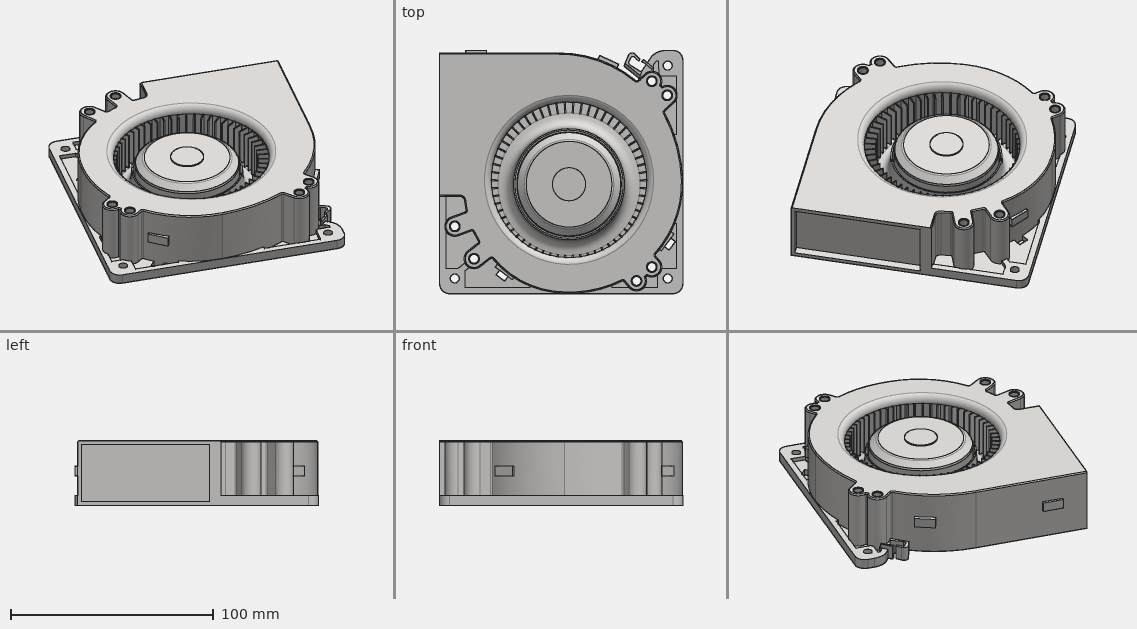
import cadquery as cq
import math

SIZE = 120.0
HALF = SIZE / 2
HEIGHT = 32.0
PLATE_H = 5.0
CORNER_R = 5.0
MOUNT_INSET = 7.5
MOUNT_R = 2.2
EAR_R = 10.0
EAR_CENTER_X = 51.6

POCKET_FLOOR = 3.0
RIM = 3.1
PAD = 12.6

SCROLL_TOP_Y = 58.7
OUTLET_LOW_Y = -12.0
EDGE_CHAMFER = 0.6

LUG_R = 4.9
LUG_HOLE_R = 2.2
LUG_HOLE_RELIEF = 0.5
NOTCH_FILL = 1.5
PAIR_WEB = 7.2
NOTCH_R = 0.7

OUTLET_Y = (-6.4, 56.8)
OUTLET_Z = (2.0, 30.0)
OUTLET_DEPTH = 4.0

INLET_CENTER = (3.8, -3.8)
INLET_RIM_R = 41.6
THROAT_R = 38.3
BELL_H = 4.2

ROTOR_CENTER = (3.8, -6.0)
WHEEL_R = 40.8
BLADE_INNER_R = 35.0
BLADE_COUNT = 60
BLADE_T = 0.6
BLADE_ROOT = 0.4
BLADE_TOP = 27.6
ROTOR_FLOOR = 8.4
ROOT_Z = ROTOR_FLOOR - 1.2
HUB_R = 25.8
HUB_SIDE_TOP = 24.8
HUB_TOP = 28.8
HUB_DISC_R = 8.2
HUB_DISC_TOP = 29.4
FLARE_RIM_R = 27.4
FLARE_RIM_T = 0.7
FLARE_TOP = 21.6

TAB_LENGTH = 10.5
TAB_Z = (14.6, 19.5)
TAB_ROOT = 3.0
DUCT_TAB_X = -47.2
WINDOW_LENGTH = 5.2
WINDOW_REACH = 2.8

CLIP_H = 7.2
CLIP_BEVEL = 1.5

LUGS = [
    (44.6, 44.8, 223, 9.0),
    (52.2, 37.8, 223, 9.0),
    (44.6, -46.8, 130, 7.8),
    (37.1, -53.6, 130, 7.8),
    (-52.5, -26.8, 20, 10.8),
    (-43.0, -42.7, 38, 10.8),
]
LUG_PAIRS = [(LUGS[0], LUGS[1]), (LUGS[2], LUGS[3])]

NOTCHES = [
    (37.3, 44.6),
    (50.5, 29.5),
    (46.1, -40.8),
    (30.5, -53.4),
    (-34.5, -42.0),
    (-40.5, -34.7),
    (-43.8, -28.8),
    (-46.8, -19.5),
]

LOWER_TABS = [(-28.3, -49.9, 233.5), (52.5, -34.7, -36.5)]
UPPER_TAB = (23.6, 55.3, 65)


def box(x, y, z):
    """Box from three (low, high) ranges."""
    return (
        cq.Workplane("XY")
        .box(x[1] - x[0], y[1] - y[0], z[1] - z[0], centered=False)
        .translate((x[0], y[0], z[0]))
    )


def bar(x, y, angle, start, end, width, z):
    """Upright bar through (x, y), from start to end along the given direction."""
    return (
        box((start, end), (-width / 2, width / 2), z)
        .rotate((0, 0, 0), (0, 0, 1), angle)
        .translate((x, y, 0))
    )


def prism(points, z):
    return cq.Workplane("XY").workplane(offset=z[0]).polyline(points).close().extrude(z[1] - z[0])


def cylinder(x, y, radius, z):
    return cq.Workplane("XY", origin=(x, y, z[0])).circle(radius).extrude(z[1] - z[0])


def mounting_plate():
    """Square plate, clipped at one corner but for a rounded ear."""
    corner_mid = HALF - CORNER_R * (1 - math.sqrt(0.5))
    corner_start = HALF - CORNER_R
    ear_center_y = HALF - EAR_R

    def ear_point(angle):
        return (
            EAR_CENTER_X + EAR_R * math.cos(math.radians(angle)),
            ear_center_y + EAR_R * math.sin(math.radians(angle)),
        )

    return (
        cq.Workplane("XY")
        .moveTo(-HALF, OUTLET_LOW_Y)
        .lineTo(-HALF, -corner_start)
        .threePointArc((-corner_mid, -corner_mid), (-corner_start, -HALF))
        .lineTo(corner_start, -HALF)
        .threePointArc((corner_mid, -corner_mid), (HALF, -corner_start))
        .lineTo(HALF, corner_start)
        .threePointArc((corner_mid, corner_mid), (corner_start, HALF))
        .lineTo(*ear_point(90))
        .threePointArc(ear_point(112.5), ear_point(135))
        .lineTo(38.6, 48.2)
        .lineTo(37.5, 43.2)
        .lineTo(0, 0)
        .close()
        .extrude(PLATE_H)
    )


def plate_pockets():
    inner = HALF - RIM
    pad = HALF - PAD
    top = OUTLET_LOW_Y
    outlines = [
        [(-inner, top), (-36, top), (-36, -36), (-46.8, -44.3), (-50.8, -pad), (-inner, -pad)],
        [(-pad, -inner), (-15.4, -inner), (-15.4, -36), (-36, -36), (-43.9, -46.1), (-pad, -48.6)],
        [(25.1, -inner), (pad, -inner), (pad, -48), (25.1, -48)],
        [(inner, -pad), (inner, -25.3), (36, -25.3), (36, -pad)],
        [(inner, 18.6), (inner, pad), (43.2, pad), (43.2, 18.6)],
        [(45.4, 45.6), (45.4, 52.8), (46.8, 54.7), (47.9, 54.7), (48.2, 45.6)],
    ]
    pockets = cq.Workplane("XY")
    for outline in outlines:
        pockets = pockets.add(prism(outline, (POCKET_FLOOR, PLATE_H)))
    return pockets.combine()


def mounting_holes():
    at = HALF - MOUNT_INSET
    spots = [(-at, -at), (at, -at), (at, at)]
    return cq.Workplane("XY").pushPoints(spots).circle(MOUNT_R).extrude(PLATE_H)


def scroll_body():
    z = (0, HEIGHT)
    body = (
        cq.Workplane("XY")
        .moveTo(-HALF, SCROLL_TOP_Y)
        .lineTo(-1.8, SCROLL_TOP_Y)
        .threePointArc((18.2, 55.5), (37.7, 44.3))
        .lineTo(50.3, 30.2)
        .threePointArc((57.2, 13.2), (59.8, -3.6))
        .threePointArc((56.3, -24.4), (45.7, -41.3))
        .lineTo(31.5, -52.9)
        .threePointArc((16.3, -58.5), (1.7, -59.6))
        .threePointArc((-17.6, -55.2), (-34.8, -41.4))
        .lineTo(-40.1, -35.4)
        .lineTo(-44.0, -28.2)
        .lineTo(-46.7, -20.3)
        .lineTo(-47.6, -14.2)
        .threePointArc((-48.2, -12.7), (-49.7, OUTLET_LOW_Y))
        .lineTo(-HALF, OUTLET_LOW_Y)
        .close()
        .extrude(HEIGHT)
    )
    for x, y, angle, length in LUGS:
        body = body.union(cylinder(x, y, LUG_R, z))
        body = body.union(bar(x, y, angle, 0, length, 2 * LUG_R, z))
    for (x1, y1, angle, _), (x2, y2, _, _) in LUG_PAIRS:
        spacing = math.hypot(x2 - x1, y2 - y1)
        body = body.union(bar((x1 + x2) / 2, (y1 + y2) / 2, angle, -NOTCH_FILL, PAIR_WEB, spacing, z))
    body = body.clean()
    for x, y in NOTCHES:
        corner = cq.selectors.NearestToPointSelector((x, y, HEIGHT / 2))
        body = body.edges("|Z").edges(corner).fillet(NOTCH_R)
    return body.faces(">Z").edges("not(<X or >Y)").chamfer(EDGE_CHAMFER)


def lug_holes():
    spots = [(x, y) for x, y, _, _ in LUGS]
    holes = cq.Workplane("XY").pushPoints(spots).circle(LUG_HOLE_R).extrude(HEIGHT)
    reliefs = (
        cq.Workplane("XY", origin=(0, 0, HEIGHT))
        .pushPoints(spots)
        .circle(LUG_HOLE_R + LUG_HOLE_RELIEF)
        .extrude(-LUG_HOLE_RELIEF)
    )
    return holes.union(reliefs)


def outlet_recess():
    return box((-HALF, -HALF + OUTLET_DEPTH), OUTLET_Y, OUTLET_Z)


def inlet_opening():
    """Bell mouth tangent to the throat, widening to the rim at the top face."""
    flare = INLET_RIM_R - THROAT_R
    radius = (BELL_H ** 2 + flare ** 2) / (2 * flare)
    half_angle = math.atan2(flare, BELL_H)
    bottom = HEIGHT - BELL_H
    mid = (THROAT_R + radius * (1 - math.cos(half_angle)), bottom + radius * math.sin(half_angle))
    return (
        cq.Workplane("XZ")
        .moveTo(0, bottom)
        .lineTo(THROAT_R, bottom)
        .threePointArc(mid, (INLET_RIM_R, HEIGHT))
        .lineTo(0, HEIGHT)
        .close()
        .revolve(360, (0, 0, 0), (0, 1, 0))
        .translate((*INLET_CENTER, 0))
    )


def rotor_cavity():
    return cylinder(*ROTOR_CENTER, WHEEL_R, (ROTOR_FLOOR, HEIGHT - BELL_H))


def hub():
    """Motor hub with a bevelled shoulder and a raised disc on top."""
    return (
        cq.Workplane("XZ")
        .moveTo(0, ROOT_Z)
        .lineTo(HUB_R, ROOT_Z)
        .lineTo(HUB_R, HUB_SIDE_TOP)
        .lineTo(25.5, 25.8)
        .lineTo(22.1, 28.5)
        .lineTo(21.1, HUB_TOP)
        .lineTo(HUB_DISC_R, HUB_TOP)
        .lineTo(HUB_DISC_R, HUB_DISC_TOP)
        .lineTo(0, HUB_DISC_TOP)
        .close()
        .revolve(360, (0, 0, 0), (0, 1, 0))
        .translate((*ROTOR_CENTER, 0))
    )


def rotor_flare():
    """Trumpet-shaped ring rising from the rotor floor towards the hub."""
    inner = FLARE_RIM_R - FLARE_RIM_T
    return (
        cq.Workplane("XZ")
        .moveTo(inner, ROOT_Z)
        .lineTo(BLADE_INNER_R, ROOT_Z)
        .lineTo(BLADE_INNER_R, ROTOR_FLOOR)
        .spline([(FLARE_RIM_R, FLARE_TOP)], tangents=[(-1, 0), (0, 1)], includeCurrent=True)
        .lineTo(inner, FLARE_TOP)
        .close()
        .revolve(360, (0, 0, 0), (0, 1, 0))
        .translate((*ROTOR_CENTER, 0))
    )


def blades():
    z = (ROOT_Z, BLADE_TOP)
    pitch = 360 / BLADE_COUNT
    ring = cq.Workplane("XY")
    for i in range(BLADE_COUNT):
        angle = (i + 0.5) * pitch
        ring = ring.add(bar(*ROTOR_CENTER, angle, BLADE_INNER_R, WHEEL_R + BLADE_ROOT, BLADE_T, z))
    return ring


def snap_tab(x, y, angle):
    return bar(x, y, angle, -TAB_ROOT, 0, TAB_LENGTH, TAB_Z)


def duct_tab():
    return box((DUCT_TAB_X, DUCT_TAB_X + TAB_LENGTH), (SCROLL_TOP_Y - 1.2, HALF), TAB_Z)


def window(x, y, angle):
    return bar(x, y, angle, -TAB_ROOT, WINDOW_REACH, WINDOW_LENGTH, (0, PLATE_H))


def cable_clip():
    """Open hook on an arm from the plate, closed by a small catch on the ear."""
    hook = (
        cq.Workplane("XY")
        .moveTo(38.4, 46.1)
        .lineTo(30.8, 52.2)
        .lineTo(32.9, 57.1)
        .threePointArc((34.7, 58.7), (36.7, 57.7))
        .lineTo(38.9, 55.5)
        .lineTo(38.2, 54.6)
        .lineTo(36.1, 56.5)
        .threePointArc((35.0, 56.9), (34.3, 56.2))
        .lineTo(33.1, 54.0)
        .lineTo(33.8, 52.8)
        .lineTo(39.6, 49.2)
        .close()
        .extrude(CLIP_H)
    )
    outer_edge = cq.selectors.NearestToPointSelector((34.7, 49.2, CLIP_H))
    hook = hook.faces(">Z").edges(outer_edge).chamfer(CLIP_BEVEL)
    catch = prism([(39.5, 54.4), (40.5, 55.5), (45.4, 51.4), (44.6, 50.6), (41.0, 53.6)], (0, CLIP_H))
    return hook.union(catch)


result = mounting_plate().cut(plate_pockets()).cut(mounting_holes())
for tab in LOWER_TABS:
    result = result.cut(window(*tab))
result = result.union(scroll_body())
for tab in LOWER_TABS + [UPPER_TAB]:
    result = result.union(snap_tab(*tab))
result = result.union(duct_tab()).union(cable_clip())
result = result.cut(lug_holes()).cut(outlet_recess())
result = result.cut(inlet_opening()).cut(rotor_cavity())
result = result.union(hub()).union(rotor_flare())
result = result.union(blades())